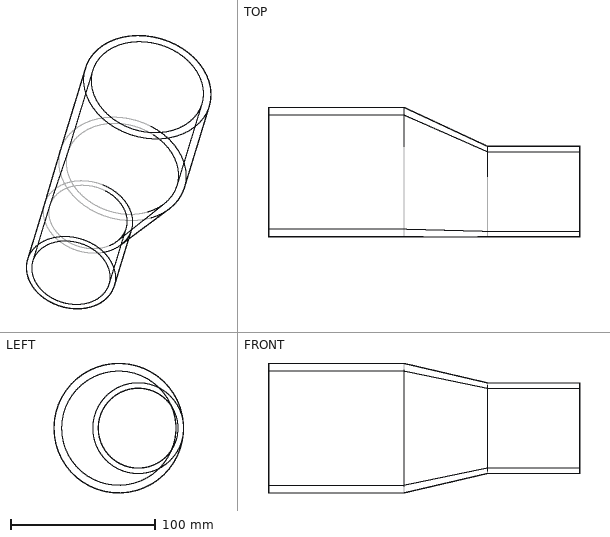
import cadquery as cq

total_length = 216.0
large_length = 94.0
taper_length = 57.9
large_outer_diameter = 90.0
large_bore_diameter = 79.3
small_outer_diameter = 63.0
small_bore_diameter = 55.3

small_length = total_length - large_length - taper_length
taper_end = large_length + taper_length
small_axis_y = (small_outer_diameter - large_outer_diameter) / 2


def reducer_body(large_diameter, small_diameter):
    """Large cylinder, eccentric taper and small cylinder as one solid."""
    large_end = cq.Workplane("YZ").circle(large_diameter / 2).extrude(large_length)
    taper = (
        cq.Workplane("YZ", origin=(large_length, 0, 0))
        .circle(large_diameter / 2)
        .workplane(offset=taper_length)
        .center(small_axis_y, 0)
        .circle(small_diameter / 2)
        .loft(ruled=True)
    )
    small_end = (
        cq.Workplane("YZ", origin=(taper_end, small_axis_y, 0))
        .circle(small_diameter / 2)
        .extrude(small_length)
    )
    return large_end.union(taper).union(small_end)


outer_body = reducer_body(large_outer_diameter, small_outer_diameter)
bore = reducer_body(large_bore_diameter, small_bore_diameter)

result = outer_body.cut(bore)